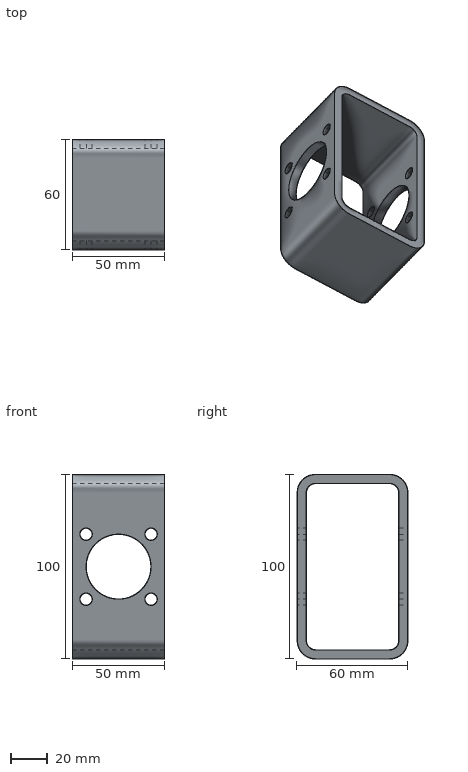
import cadquery as cq

length = 50.0
depth = 60.0
height = 100.0
wall = 5.0
outer_radius = 10.0
inner_radius = outer_radius - wall

bore_diameter = 35.0
bolt_diameter = 6.5
bolt_spacing = 35.2


def rounded_bar(bar_depth, bar_height, corner_radius):
    """Solid bar along X with its four long edges rounded."""
    return cq.Workplane("XY").box(length, bar_depth, bar_height).edges("|X").fillet(corner_radius)


def cut_wall_holes(body):
    """Cut the central bore and four bolt holes along Y through both walls."""
    bore = cq.Workplane("XZ").circle(bore_diameter / 2).extrude(depth / 2, both=True)
    bolts = (
        cq.Workplane("XZ")
        .rect(bolt_spacing, bolt_spacing, forConstruction=True)
        .vertices()
        .circle(bolt_diameter / 2)
        .extrude(depth / 2, both=True)
    )
    return body.cut(bore).cut(bolts)


outer = rounded_bar(depth, height, outer_radius)
cavity = rounded_bar(depth - 2 * wall, height - 2 * wall, inner_radius)
result = cut_wall_holes(outer.cut(cavity))